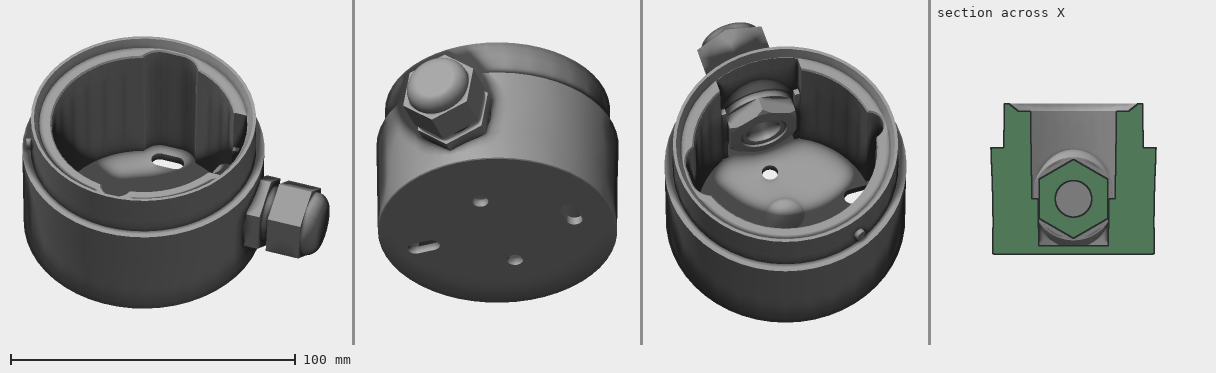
import cadquery as cq
import math

total_length = 108.8
height = 53.0
shoulder_z = 37.4
base_bottom_radius = 42.0
base_top_diameter = 85.0
base_top_radius = base_top_diameter / 2
collar_bottom_radius = 39.6
collar_top_radius = 39.5
bottom_edge_chamfer = 0.3

ledge_depth = 2.7
ledge_z = height - ledge_depth
mouth_radius = 38.4
ledge_radius = 36.6

floor_z = 3.0
cavity_depth = ledge_z - floor_z
cavity_radius = 31.2
cavity_draft = 1.2
edge_chamfer = 0.5
chamfer_angle = 45

slot_width = 5.8
slot_length = 11.8
slot_distance = 27.5
slot_end_offset = (slot_length - slot_width) / 2
screw_hole_distance = 18.0
back_bay_radius = 6.9
front_bay_radius = 4.4

dome_radius = 6.6
dome_height = 1.6

window_half_width = 14.3
window_draft = 0.9
window_wall_radius = 36.5

post_x = 29.7
post_y = 13.5
post_length = 3.2
post_width = 2.8
post_top_z = 33.3
post_draft = 1.0

gland_z = 19.5
hex_radius = 13.9
hex_turn = 20.0
flange_start = 41.3
flange_end = 46.2
neck_radius = 10.0
cap_start = 49.3
cap_end = 61.3
dome_end = total_length - base_top_radius
gland_dome_radius = 11.3
gland_dome_fillet = 4.8
stem_radius = 12.2
bore_radius = 6.3

boss_face_radius = 14.6
boss_flare = 45
boss_face = 33.7
washer_radius = 13.6
nut_face = 24.7
nut_back = 31.3
nut_radius = 13.9
nut_crown = 0.4
nut_crown_radius = 12.6
nut_recess_radius = 8.5
nut_recess_depth = 0.9

pin_angle = 202.5
pin_z = 43.4
pin_radius = 2.0
pin_tip = 41.2


def cone(bottom_radius, top_radius, bottom_z, top_z):
    """Solid of revolution about Z with a straight sloping side."""
    outline = [(0, bottom_z), (bottom_radius, bottom_z), (top_radius, top_z), (0, top_z)]
    return cq.Workplane("XZ").polyline(outline).close().revolve(360, (0, 0), (0, 1))


def x_plane(x):
    """Plane across the gland axis: local x is +Y, local y is +Z."""
    return cq.Workplane("YZ", origin=(x, 0, gland_z))


def x_cylinder(radius, start, end):
    return x_plane(start).circle(radius).extrude(end - start)


def x_hexagon(radius, start, end, turn):
    return x_plane(start).transformed(rotate=(0, 0, turn)).polygon(6, 2 * radius).extrude(end - start)


def drafted_bay(center_y, spread, angle, radius):
    """Rounded cavity with sides that open upward, plus its upper edge chamfer."""
    def outline(z, r):
        plane = cq.Workplane("XY", origin=(0, center_y, z))
        if spread == 0:
            return plane.circle(r)
        return plane.slot2D(2 * (spread + r), 2 * r, angle)

    top_radius = radius + cavity_depth * math.tan(math.radians(cavity_draft))
    walls = outline(floor_z, radius).extrude(cavity_depth, taper=-cavity_draft)
    chamfer = outline(ledge_z - edge_chamfer, top_radius).extrude(edge_chamfer, taper=-chamfer_angle)
    return walls.union(chamfer)


def make_shell():
    base = cone(base_bottom_radius, base_top_radius, 0, shoulder_z)
    base = base.faces("<Z").edges().chamfer(bottom_edge_chamfer)
    collar = cone(collar_bottom_radius, collar_top_radius, shoulder_z, height)
    return base.union(collar).cut(cone(ledge_radius, mouth_radius, ledge_z, height))


def cut_cavity(body):
    body = body.cut(drafted_bay(0, 0, 0, cavity_radius))
    body = body.cut(drafted_bay(slot_distance, slot_end_offset, 0, back_bay_radius))
    return body.cut(drafted_bay(-slot_distance, slot_end_offset, 90, front_bay_radius))


def make_window():
    length = window_wall_radius
    block = (
        cq.Workplane("XY", origin=(length, 0, floor_z))
        .rect(2 * length, 2 * window_half_width)
        .extrude(cavity_depth, taper=-window_draft)
    )
    limit = cone(window_wall_radius, window_wall_radius, floor_z, ledge_z)
    sector = cq.Workplane("XY").box(length, 2 * length, height, centered=(False, True, False))
    return block.intersect(limit).intersect(sector)


def make_floor_openings():
    depth = floor_z
    back_slot = cq.Workplane("XY").center(0, slot_distance).slot2D(slot_length, slot_width).extrude(depth)
    front_slot = cq.Workplane("XY").center(0, -slot_distance).slot2D(slot_length, slot_width, 90).extrude(depth)
    holes = (
        cq.Workplane("XY")
        .pushPoints([(-screw_hole_distance, 0), (screw_hole_distance, 0)])
        .circle(slot_width / 2)
        .extrude(depth)
    )
    return back_slot.union(front_slot).union(holes)


def make_floor_dome():
    outline = (
        cq.Workplane("XZ", origin=(0, 0, floor_z))
        .lineTo(dome_radius, 0)
        .radiusArc((0, dome_height), -(dome_radius**2 + dome_height**2) / (2 * dome_height))
        .close()
    )
    return outline.revolve(360, (0, 0), (0, 1))


def make_posts():
    return (
        cq.Workplane("XY", origin=(0, 0, floor_z))
        .pushPoints([(post_x, -post_y), (post_x, post_y)])
        .rect(post_length, post_width)
        .extrude(post_top_z - floor_z, taper=post_draft)
    )


def make_nut():
    """Hexagon with a slightly crowned face and 45 degree corner chamfers."""
    reach = nut_back - nut_face
    back_radius = nut_crown_radius + reach - nut_crown
    outline = [
        (0, 0),
        (0, nut_recess_radius),
        (nut_crown, nut_crown_radius),
        (reach, back_radius),
        (reach, 0),
    ]
    turned_blank = (
        cq.Workplane("XY", origin=(nut_face, 0, gland_z))
        .polyline(outline)
        .close()
        .revolve(360, (0, 0), (1, 0))
    )
    nut = x_hexagon(nut_radius, nut_face, nut_back, 90).intersect(turned_blank)
    return nut.cut(x_cylinder(nut_recess_radius, nut_face, nut_face + nut_recess_depth))


def make_boss():
    """Cone that widens from the washer to the wall."""
    return x_plane(boss_face).circle(boss_face_radius).extrude(window_wall_radius - boss_face, taper=-boss_flare)


def make_gland():
    end_dome = x_cylinder(gland_dome_radius, cap_end, dome_end).faces(">X").edges().fillet(gland_dome_fillet)
    gland = make_nut()
    parts = [
        x_cylinder(washer_radius, nut_back, boss_face),
        make_boss(),
        x_cylinder(stem_radius, window_wall_radius, flange_start),
        x_hexagon(hex_radius, flange_start, flange_end, hex_turn),
        x_cylinder(neck_radius, flange_end, cap_start),
        x_hexagon(hex_radius, cap_start, cap_end, hex_turn),
        end_dome,
    ]
    for part in parts:
        gland = gland.union(part)
    return gland


def make_pin():
    start = ledge_radius
    pin = cq.Workplane("YZ", origin=(start, 0, pin_z)).circle(pin_radius).extrude(pin_tip - start)
    return pin.rotate((0, 0, 0), (0, 0, 1), pin_angle)


result = cut_cavity(make_shell())
result = result.cut(make_window())
result = result.cut(make_floor_openings())
result = result.union(make_floor_dome()).union(make_posts())
result = result.union(make_gland()).union(make_pin())
result = result.cut(x_cylinder(bore_radius, nut_face, boss_face))